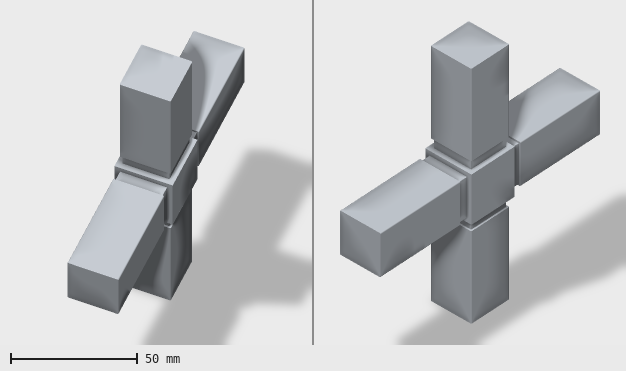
import cadquery as cq

span = 127.0
hub_side = 25.0
plug_side = 22.0
neck_side = 20.2
neck_length = 5.0
corner_radius = 0.5

neck_end = hub_side / 2 + neck_length
plug_length = span / 2 - neck_end


def arm():
    """One arm pointing along +Z: a recessed neck carrying a square plug."""
    neck = cq.Workplane("XY").box(neck_side, neck_side, neck_end, centered=(True, True, False))
    plug = (
        cq.Workplane("XY")
        .workplane(offset=neck_end)
        .rect(plug_side, plug_side)
        .extrude(plug_length)
        .edges("|Z")
        .fillet(corner_radius)
    )
    return neck.union(plug)


result = cq.Workplane("XY").box(hub_side, hub_side, hub_side)
for angle in (0, 90, 180, 270):
    result = result.union(arm().rotate((0, 0, 0), (1, 0, 0), angle))